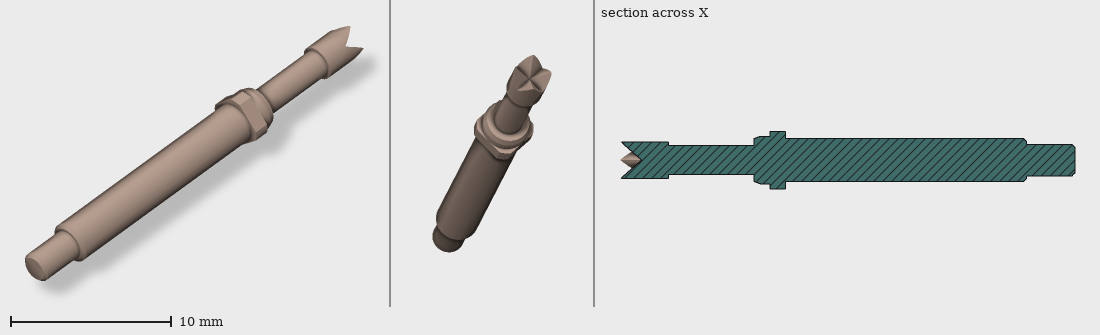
import cadquery as cq
import math


BARREL_DIAMETER = 2.7
BARREL_LENGTH = 15.0
BARREL_CHAMFER = 0.2

TAIL_DIAMETER = 2.0
TAIL_LENGTH = 3.0
TAIL_CHAMFER = 0.2

FLANGE_DIAMETER = 3.6
FLANGE_ACROSS_FLATS = 3.0
FLANGE_THICKNESS = 1.0

COLLAR_DIAMETER = FLANGE_ACROSS_FLATS
COLLAR_LENGTH = 1.0
COLLAR_TAPER_LENGTH = 0.42

PLUNGER_DIAMETER = 1.85
PLUNGER_LENGTH = 5.3
HEAD_DIAMETER = 2.3
HEAD_LENGTH = 3.0
GROOVE_DEPTH = 1.3

DIAGONAL = 45.0

COLLAR_START = FLANGE_THICKNESS
COLLAR_END = COLLAR_START + COLLAR_LENGTH
HEAD_START = COLLAR_END + PLUNGER_LENGTH
TIP = HEAD_START + HEAD_LENGTH
TAIL_START = -BARREL_LENGTH


def cross_section(y):
    """Workplane across the probe axis at station y, facing +Y."""
    return cq.Workplane(cq.Plane(origin=(0, y, 0), xDir=(1, 0, 0), normal=(0, 1, 0)))


def cylinder(start_y, length, diameter):
    return cross_section(start_y).circle(diameter / 2).extrude(length)


def make_barrel():
    barrel = cylinder(TAIL_START, BARREL_LENGTH, BARREL_DIAMETER)
    return barrel.faces("<Y").chamfer(BARREL_CHAMFER)


def make_tail():
    tail = cylinder(TAIL_START - TAIL_LENGTH, TAIL_LENGTH, TAIL_DIAMETER)
    return tail.faces("<Y").chamfer(TAIL_CHAMFER)


def make_flange():
    square = cross_section(0).rect(FLANGE_ACROSS_FLATS, FLANGE_ACROSS_FLATS).extrude(FLANGE_THICKNESS)
    square = square.rotate((0, 0, 0), (0, 1, 0), DIAGONAL)
    return square.intersect(cylinder(0, FLANGE_THICKNESS, FLANGE_DIAMETER))


def make_collar():
    profile = (
        cq.Workplane("XY")
        .moveTo(0, COLLAR_START)
        .lineTo(COLLAR_DIAMETER / 2, COLLAR_START)
        .lineTo(COLLAR_DIAMETER / 2, COLLAR_END - COLLAR_TAPER_LENGTH)
        .lineTo(BARREL_DIAMETER / 2, COLLAR_END)
        .lineTo(0, COLLAR_END)
        .close()
    )
    return profile.revolve(axisStart=(0, 0, 0), axisEnd=(0, 1, 0))


def make_groove(angle):
    """V-shaped cutter across the head, turned about Y by the given angle."""
    half_width = HEAD_DIAMETER / 2 * math.cos(math.radians(DIAGONAL))
    oversize = 2
    bottom = TIP - GROOVE_DEPTH
    top = bottom + oversize * GROOVE_DEPTH
    groove = (
        cq.Workplane("XY")
        .moveTo(0, bottom)
        .lineTo(oversize * half_width, top)
        .lineTo(-oversize * half_width, top)
        .close()
        .extrude(HEAD_DIAMETER, both=True)
    )
    return groove.rotate((0, 0, 0), (0, 1, 0), angle)


def make_head():
    head = cylinder(HEAD_START, HEAD_LENGTH, HEAD_DIAMETER)
    for angle in (DIAGONAL, -DIAGONAL):
        head = head.cut(make_groove(angle))
    return head


result = (
    make_barrel()
    .union(make_tail())
    .union(make_flange())
    .union(make_collar())
    .union(cylinder(COLLAR_END, PLUNGER_LENGTH, PLUNGER_DIAMETER))
    .union(make_head())
)